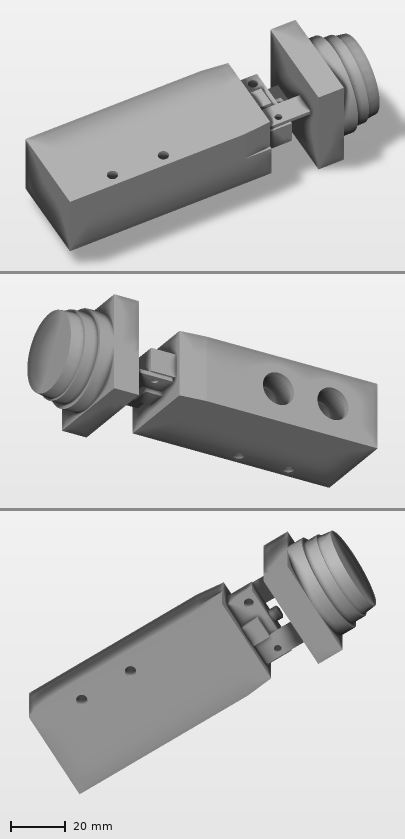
import cadquery as cq
import math

total_length = 128.7

body_width = 35.1
body_height = 26.8
body_length = 83.1
taper_length = 10.8
taper_depth = 1.2
mount_hole_radius = 2.0
mount_hole_x = 13.0
mount_hole_ys = (20.0, 40.9)

port_ys = (18.9, 42.0)
port_mouth_radius = 6.5
port_inner_radius = 6.3
port_depth = 11.0
drill_radius = 5.4
drill_point_angle = 90.0
drill_point_depth = drill_radius / math.tan(math.radians(drill_point_angle / 2))

block_width = 27.5
block_height = 9.5
block_rear_y = 93.6
rib_rear_y = 90.2
rib_height = 16.0
plunger_radius = 2.6
plunger_rear_y = 97.2
plunger_chamfer = 0.4

plate_width = 38.0
plate_height = 39.0
plate_thickness = 10.4
arm_width = 8.9
arm_thickness = 1.5
arm_x = 8.5
arm_front_y = 83.5
arm_corner_radius = 0.9
arm_z = (block_height + arm_thickness) / 2
rib_width = 2 * arm_x - arm_width

cross_hole_x = 10.0
cross_hole_y = 90.0
block_hole_radius = 1.8
arm_hole_radius = 1.4

collar_radius = plate_width / 2
collar_thickness = 3.2
gasket_thickness = 1.3
bezel_thickness = 1.4
knob_radius = 17.2
knob_length = 5.4
cap_base_radius = 16.5
cap_end_radius = 15.8
cap_length = 5.1
button_front_y = total_length - cap_length - knob_length - bezel_thickness
gasket_front_y = button_front_y - gasket_thickness
plate_rear_y = gasket_front_y - collar_thickness
plate_front_y = plate_rear_y - plate_thickness


def block_along_y(width, y_start, y_end, height):
    """Rectangular block centred on the Y axis."""
    return cq.Workplane("XY").box(width, y_end - y_start, height).translate((0, (y_start + y_end) / 2, 0))


def disc_along_y(radius, y_start, y_end):
    """Round disc centred on the Y axis."""
    return cq.Workplane("XZ", origin=(0, y_start, 0)).circle(radius).extrude(y_start - y_end)


def upright_hole(radius, x, y):
    """Vertical cutter long enough to pass through the whole valve."""
    return cq.Workplane("XY").center(x, y).circle(radius).extrude(body_height, both=True)


def side_taper(side, z_bottom):
    """Wedge that narrows one side of the body's rear end above z_bottom."""
    outer_x = side * body_width / 2
    wedge = (
        cq.Workplane("XY", origin=(0, 0, z_bottom))
        .moveTo(outer_x, body_length - taper_length)
        .lineTo(outer_x, body_length)
        .lineTo(outer_x - side * taper_depth, body_length)
        .close()
    )
    return wedge.extrude(body_height / 2 - z_bottom)


def port(y):
    """Port cutter revolved about an X-parallel axis, entering from the -X side."""
    face_x = -body_width / 2
    shoulder_x = face_x + port_depth
    return (
        cq.Workplane("XY")
        .moveTo(face_x, y)
        .lineTo(face_x, y + port_mouth_radius)
        .lineTo(shoulder_x, y + port_inner_radius)
        .lineTo(shoulder_x, y + drill_radius)
        .lineTo(shoulder_x + drill_point_depth, y)
        .close()
        .revolve(360, (face_x, y, 0), (face_x + 1.3, y, 0))
    )


def make_valve():
    """Valve body with its guide block and plunger."""
    valve = block_along_y(body_width, 0, body_length, body_height)
    valve = valve.cut(side_taper(-1, -body_height / 2)).cut(side_taper(1, 0))
    for y in port_ys:
        valve = valve.cut(port(y))
    for y in mount_hole_ys:
        valve = valve.cut(upright_hole(mount_hole_radius, mount_hole_x, y))

    guide = block_along_y(block_width, body_length, block_rear_y, block_height)
    guide = guide.union(block_along_y(rib_width, body_length, rib_rear_y, rib_height))
    for side in (-1, 1):
        guide = guide.cut(upright_hole(block_hole_radius, side * cross_hole_x, cross_hole_y))

    plunger = disc_along_y(plunger_radius, block_rear_y, plunger_rear_y)
    plunger = plunger.faces(">Y").chamfer(plunger_chamfer)
    return valve.union(guide).union(plunger)


def make_arm(side):
    """Flat arm with a cross hole: upper arm on the +X side, lower arm on the -X side."""
    arm = block_along_y(arm_width, arm_front_y, plate_front_y, arm_thickness)
    arm = arm.edges("|Z and <Y").fillet(arm_corner_radius)
    arm = arm.translate((side * arm_x, 0, side * arm_z))
    return arm.cut(upright_hole(arm_hole_radius, side * cross_hole_x, cross_hole_y))


def make_mount():
    """Mounting plate with its collar and both arms."""
    mount = block_along_y(plate_width, plate_front_y, plate_rear_y, plate_height)
    mount = mount.union(disc_along_y(collar_radius, plate_rear_y, gasket_front_y))
    for side in (-1, 1):
        mount = mount.union(make_arm(side))
    return mount


def make_gasket():
    """Thin disc between the collar and the button."""
    return disc_along_y(collar_radius, gasket_front_y, button_front_y)


def make_button():
    """Bezel, knob and conical cap turned as one piece."""
    knob_front_y = button_front_y + bezel_thickness
    cap_front_y = knob_front_y + knob_length
    return (
        cq.Workplane("XY")
        .moveTo(0, button_front_y)
        .lineTo(collar_radius, button_front_y)
        .lineTo(collar_radius, knob_front_y)
        .lineTo(knob_radius, knob_front_y)
        .lineTo(knob_radius, cap_front_y)
        .lineTo(cap_base_radius, cap_front_y)
        .lineTo(cap_end_radius, total_length)
        .lineTo(0, total_length)
        .close()
        .revolve(360, (0, 0, 0), (0, 1, 0))
    )


valve = make_valve()
mount = make_mount()
gasket = make_gasket()
button = make_button()

result = cq.Compound.makeCompound([valve.val(), mount.val(), gasket.val(), button.val()])